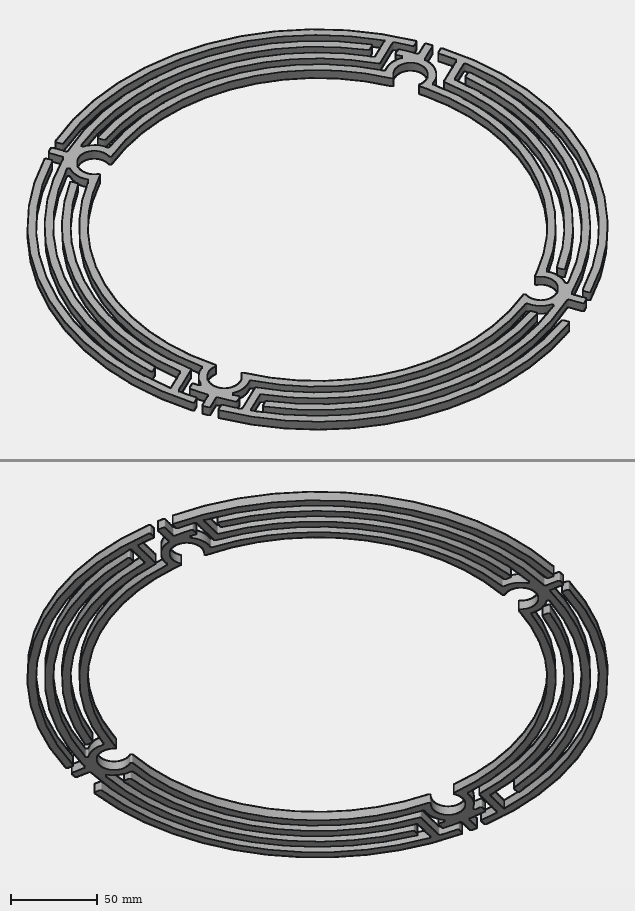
import cadquery as cq
import math

thickness = 6.35
outer_radius = 168.0
band_width = 5.0
band_pitch = 2 * band_width
second_radius = outer_radius - band_pitch
third_radius = second_radius - band_pitch
inner_radius = third_radius - band_pitch
bore_of_ring = inner_radius - band_width

hub_center_radius = 140.0
hub_bore_radius = 10.0
hub_radius = hub_bore_radius + band_width
stem_width = 5.0

outer_end_gap = 7.5
outer_end_gap_short = 20.0
post_near = 20.0
post_far = post_near + band_width
third_end_gap = 20.0

arm_end_gap = 30.0
arm_end_gap_short = 40.0

corner_round = 1.0

HUB_COUNT = 4
HUB_STEP = 360 / HUB_COUNT

QUADRANTS = [(1, 1), (-1, 1), (-1, -1), (1, -1)]
SHORT_OUTER_QUADRANT = (1, -1)
SHORT_ARM_QUADRANT = (-1, -1)
NO_TAB_QUADRANT = (1, 1)
SHARP_POST_QUADRANTS = [(-1, 1), (-1, -1)]


def block(x_min, x_max, y_min, y_max):
    """Plate-thick rectangular block between the given X and Y limits."""
    return (
        cq.Workplane("XY")
        .box(x_max - x_min, y_max - y_min, thickness, centered=False)
        .translate((x_min, y_min, 0))
    )


def ring(radius, width=band_width):
    """Full ring with the given outside radius and radial width."""
    return cq.Workplane("XY").circle(radius).circle(radius - width).extrude(thickness)


def band(radius, x_min, y_min, x_max=outer_radius):
    """Part of a ring in the first quadrant, with ends cut square to the axes."""
    return ring(radius).intersect(block(x_min, x_max, y_min, outer_radius))


def to_quadrant(body, x_sign, y_sign):
    """Mirror a first-quadrant body into the quadrant with the given signs."""
    if x_sign < 0:
        body = body.mirror("YZ")
    if y_sign < 0:
        body = body.mirror("XZ")
    return body


def height_on_circle(radius, x):
    """Y of the point at x on a circle about the origin."""
    return math.sqrt(radius**2 - x**2)


def round_corners(body, sharp_at=None):
    """Round the upright edges of a body, except one that stands at the point sharp_at."""
    edges = body.edges("|Z")
    if sharp_at:
        x, y = sharp_at
        reach = corner_round / 2
        low = (x - reach, y - reach, 0)
        high = (x + reach, y + reach, thickness)
        edges = body.edges(cq.selectors.StringSyntaxSelector("|Z") - cq.selectors.BoxSelector(low, high))
    return edges.fillet(corner_round)


def make_hook(outer_gap, sharp_post):
    """First-quadrant hook whose outer band stops outer_gap above the X axis.

    With sharp_post the inside corner of the post and the outer band stays sharp.
    """
    outer_band = band(outer_radius, outer_end_gap, outer_gap)
    third_band = band(third_radius, post_near, third_end_gap)
    post_span = ring(outer_radius - band_width / 2, outer_radius - third_radius)
    post = post_span.intersect(block(post_near, post_far, 0, outer_radius))
    hook = outer_band.union(third_band).union(post)
    if not sharp_post:
        return round_corners(hook)
    inside_corner = height_on_circle(outer_radius - band_width, post_far)
    return round_corners(hook, sharp_at=(post_far, inside_corner))


def make_hub():
    """Hub body on the +Y side, before its bore is cut, with the stem that reaches the outside."""
    socket = cq.Workplane("XY").center(0, hub_center_radius).circle(hub_radius).extrude(thickness)
    stem = block(-stem_width / 2, stem_width / 2, hub_center_radius, outer_radius + band_width)
    return socket.union(stem)


def make_hub_bore():
    """Bore of the +Y hub; it breaks through the inner ring toward the centre."""
    return cq.Workplane("XY").center(0, hub_center_radius).circle(hub_bore_radius).extrude(thickness)


def make_frame():
    """Inner ring with four hubs, the second-band arms and the crossbar tabs."""
    frame = ring(inner_radius)
    for quadrant in QUADRANTS:
        arm_gap = arm_end_gap_short if quadrant == SHORT_ARM_QUADRANT else arm_end_gap
        frame = frame.union(to_quadrant(band(second_radius, arm_gap, 0), *quadrant))
        if quadrant != NO_TAB_QUADRANT:
            tab = band(second_radius, 0, 0, hub_radius)
            frame = frame.union(to_quadrant(tab, *quadrant))
    for step in range(HUB_COUNT):
        frame = frame.union(make_hub().rotate((0, 0, 0), (0, 0, 1), HUB_STEP * step))
    frame = frame.intersect(ring(outer_radius, outer_radius - bore_of_ring))
    for step in range(HUB_COUNT):
        frame = frame.cut(make_hub_bore().rotate((0, 0, 0), (0, 0, 1), HUB_STEP * step))
    return round_corners(frame)


frame = make_frame()

hooks = []
for quadrant in QUADRANTS:
    gap = outer_end_gap_short if quadrant == SHORT_OUTER_QUADRANT else outer_end_gap
    sharp_post = quadrant in SHARP_POST_QUADRANTS
    hooks.append(to_quadrant(make_hook(gap, sharp_post), *quadrant))

result = cq.Compound.makeCompound([frame.val(), *[hook.val() for hook in hooks]])